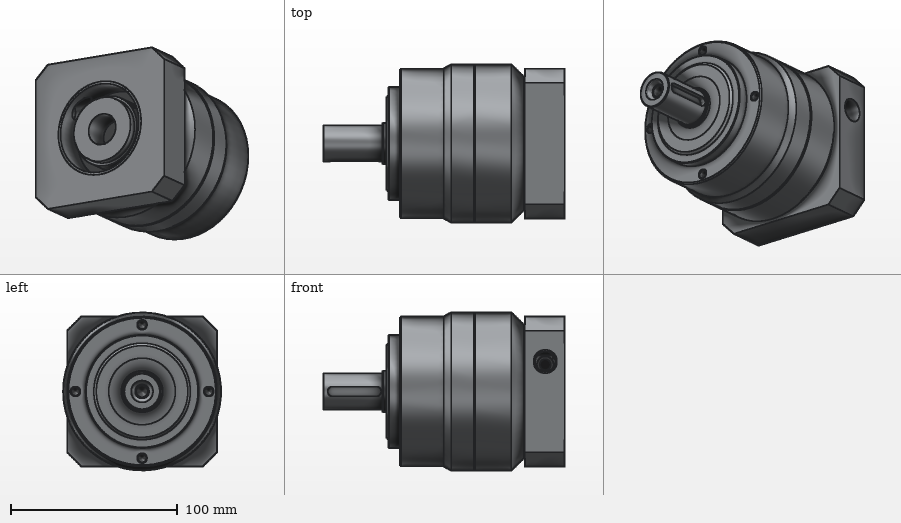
import cadquery as cq
import math

LENGTH = 145.0

SHAFT_D = 22.0
SHAFT_CHAMFER = 0.5
COLLAR_START = 35.5
COLLAR_D = 25.0
COLLAR_CHAMFER = 0.5
SHOULDER_D = 40.0
SHOULDER_DEPTH = 7.0

KEYWAY_START = 2.8
KEYWAY_END = 34.8
KEYWAY_WIDTH = 6.0
KEYWAY_DEPTH = 3.5

CENTRE_RIM_D = 13.2
CENTRE_RECESS_D = 12.0
CENTRE_RECESS_DEPTH = 0.6
CENTRE_CONE_END = 3.3
CENTRE_CONE_END_D = 8.4
CENTRE_DRILL_D = 7.0
CENTRE_DRILL_END = 25.0
DRILL_TIP_ANGLE = 120.0

COVER_FACE = 37.7
COVER_TIP_D = 55.0
COVER_D = 58.0
PILOT_FACE = 39.2
PILOT_D = 68.0
PILOT_CHAMFER = 0.5
FRONT_FACE = 46.0
FRONT_D = 90.0
FRONT_CHAMFER = 0.9
FLARE_START = 72.2
FLARE_END = 76.7
BODY_D = 95.0
GROOVE_START = 90.5
GROOVE_WIDTH = 0.9
GROOVE_DEPTH = 0.5
TAPER_START = 113.0
TAPER_END = 120.4
NECK_D = 80.3

RIM_D = 58.0
RIM_HEIGHT = 0.1
PLATE_START = 121.1
PLATE_END = LENGTH - RIM_HEIGHT
PLATE_SIDE = FRONT_D
PLATE_CORNER_CUT = 8.5

BOLT_CIRCLE_D = 80.0
BOLT_COUNT = 4
BOLT_HOLE_D = 5.1
BOLT_RIM_D = 6.0
BOLT_RIM_DEPTH = 0.5
BOLT_HOLE_DEPTH = 11.6

CAVITY_START = 124.7
CAVITY_D = 55.0

ACCESS_X = 133.3
ACCESS_Z = 18.0
ACCESS_D = 14.0
ACCESS_DEPTH = 17.4
ACCESS_INNER_D = 12.0

HUB_D = 43.2
HUB_STEP = 137.6
HUB_END_D = 39.7
HUB_END = 142.1
HUB_BORE_D = 19.0
SCREW_Z = 16.1
SCREW_HOLE_D = 6.5
SCREW_SEAT_D = 10.0
SCREW_SEAT_Y = -5.5


def revolved(points):
    """Solid of revolution about X from (x, radius) points whose ends lie on the axis."""
    return cq.Workplane("XY").polyline(points).close().revolve(360, (0, 0, 0), (1, 0, 0))


def cylinder_x(diameter, start, end):
    """Cylinder on the X axis between two X positions."""
    return cq.Workplane("YZ", origin=(start, 0, 0)).circle(diameter / 2).extrude(end - start)


def cylinder_y(diameter, x, z, start, end):
    """Cylinder along Y at the given X and Z, between two Y positions."""
    return cq.Workplane("XZ", origin=(x, start, z)).circle(diameter / 2).extrude(start - end)


def drill_tip(diameter):
    """Length of the cone at the bottom of a drilled hole."""
    return diameter / 2 / math.tan(math.radians(DRILL_TIP_ANGLE / 2))


def centre_hole():
    """Stepped centre hole in the shaft tip, with a threading drill at its bottom."""
    return revolved([
        (0, 0),
        (0, CENTRE_RIM_D / 2),
        (CENTRE_RECESS_DEPTH, CENTRE_RECESS_D / 2),
        (CENTRE_CONE_END, CENTRE_CONE_END_D / 2),
        (CENTRE_CONE_END, CENTRE_DRILL_D / 2),
        (CENTRE_DRILL_END, CENTRE_DRILL_D / 2),
        (CENTRE_DRILL_END + drill_tip(CENTRE_DRILL_D), 0),
    ])


def keyway():
    """Round-ended keyway cut into the -Y side of the shaft."""
    length = KEYWAY_END - KEYWAY_START
    middle = (KEYWAY_START + KEYWAY_END) / 2
    return (
        cq.Workplane("XZ", origin=(middle, -SHAFT_D / 2 + KEYWAY_DEPTH, 0))
        .slot2D(length, KEYWAY_WIDTH)
        .extrude(SHAFT_D / 2)
    )


def make_shaft():
    """Output shaft whose shoulder sits flush with the housing cover."""
    shoulder_end = COVER_FACE + SHOULDER_DEPTH
    blank = revolved([
        (0, 0),
        (0, SHAFT_D / 2 - SHAFT_CHAMFER),
        (SHAFT_CHAMFER, SHAFT_D / 2),
        (COLLAR_START, SHAFT_D / 2),
        (COLLAR_START, COLLAR_D / 2 - COLLAR_CHAMFER),
        (COLLAR_START + COLLAR_CHAMFER, COLLAR_D / 2),
        (COVER_FACE, COLLAR_D / 2),
        (COVER_FACE, SHOULDER_D / 2),
        (shoulder_end, SHOULDER_D / 2),
        (shoulder_end, 0),
    ])
    return blank.cut(keyway()).cut(centre_hole())


def housing_body():
    """Round part of the housing, from the cover to the neck."""
    groove_end = GROOVE_START + GROOVE_WIDTH
    groove_radius = BODY_D / 2 - GROOVE_DEPTH
    return revolved([
        (COVER_FACE, 0),
        (COVER_FACE, COVER_TIP_D / 2),
        (PILOT_FACE, COVER_D / 2),
        (PILOT_FACE, PILOT_D / 2 - PILOT_CHAMFER),
        (PILOT_FACE + PILOT_CHAMFER, PILOT_D / 2),
        (FRONT_FACE, PILOT_D / 2),
        (FRONT_FACE, FRONT_D / 2 - FRONT_CHAMFER),
        (FRONT_FACE + FRONT_CHAMFER, FRONT_D / 2),
        (FLARE_START, FRONT_D / 2),
        (FLARE_END, BODY_D / 2),
        (GROOVE_START, BODY_D / 2),
        (GROOVE_START, groove_radius),
        (groove_end, groove_radius),
        (groove_end, BODY_D / 2),
        (TAPER_START, BODY_D / 2),
        (TAPER_END, NECK_D / 2),
        (PLATE_START, NECK_D / 2),
        (PLATE_START, 0),
    ])


def motor_plate():
    """Square plate with cut corners and a low round rim on its motor face."""
    plate = (
        cq.Workplane("YZ", origin=(PLATE_START, 0, 0))
        .rect(PLATE_SIDE, PLATE_SIDE)
        .extrude(PLATE_END - PLATE_START)
        .edges("|X")
        .chamfer(PLATE_CORNER_CUT)
    )
    return plate.union(cylinder_x(RIM_D, PLATE_END, LENGTH))


def bolt_holes():
    """Threaded mounting holes around the pilot, each with a chamfered rim and a drill tip."""
    hole = revolved([
        (FRONT_FACE, 0),
        (FRONT_FACE, BOLT_RIM_D / 2),
        (FRONT_FACE + BOLT_RIM_DEPTH, BOLT_HOLE_D / 2),
        (FRONT_FACE + BOLT_HOLE_DEPTH, BOLT_HOLE_D / 2),
        (FRONT_FACE + BOLT_HOLE_DEPTH + drill_tip(BOLT_HOLE_D), 0),
    ]).translate((0, 0, BOLT_CIRCLE_D / 2))
    step = 360 / BOLT_COUNT
    return [hole.rotate((0, 0, 0), (1, 0, 0), i * step) for i in range(BOLT_COUNT)]


def make_housing():
    """Housing with a recess for the shaft shoulder and a cavity for the clamp hub."""
    housing = housing_body().union(motor_plate())
    housing = housing.cut(cylinder_x(SHOULDER_D, COVER_FACE, COVER_FACE + SHOULDER_DEPTH))
    housing = housing.cut(cylinder_x(CAVITY_D, CAVITY_START, LENGTH))
    for hole in bolt_holes():
        housing = housing.cut(hole)
    side = -PLATE_SIDE / 2
    housing = housing.cut(cylinder_y(ACCESS_D, ACCESS_X, ACCESS_Z, side, side + ACCESS_DEPTH))
    return housing.cut(cylinder_y(ACCESS_INNER_D, ACCESS_X, ACCESS_Z, side, 0))


def make_clamp_hub():
    """Stepped hub on the cavity floor, bored for the motor shaft and drilled for its screw."""
    hub = cylinder_x(HUB_D, CAVITY_START, HUB_STEP).union(cylinder_x(HUB_END_D, HUB_STEP, HUB_END))
    hub = hub.cut(cylinder_x(HUB_BORE_D, CAVITY_START, HUB_END))
    hub = hub.cut(cylinder_y(SCREW_SEAT_D, ACCESS_X, SCREW_Z, -HUB_D / 2, SCREW_SEAT_Y))
    return hub.cut(cylinder_y(SCREW_HOLE_D, ACCESS_X, SCREW_Z, -HUB_D / 2, HUB_D / 2))


housing = make_housing()
shaft = make_shaft()
clamp_hub = make_clamp_hub()

result = cq.Compound.makeCompound([housing.val(), shaft.val(), clamp_hub.val()])